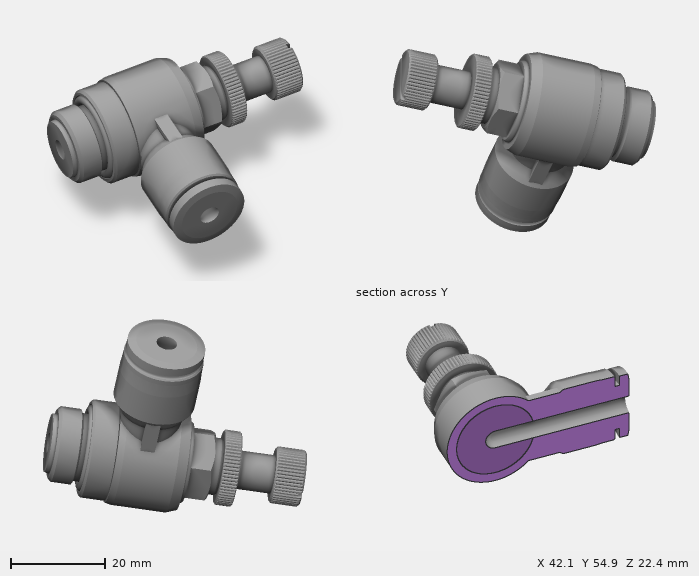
import cadquery as cq
import math


total_length = 54.9
branch_y = 20.1

sleeve_bottom = 13.7
sleeve_top = 29.1
sleeve_radius = 11.2
sleeve_bottom_radius = 10.9
sleeve_bottom_taper = 1.5
sleeve_top_radius = 10.4
sleeve_top_taper = 2.25

branch_neck_radius = 6.75
branch_cone_start = 12.6
branch_cone_end = 15.7
branch_radius = 8.8
branch_taper_start = 23.1
branch_taper_end = 26.2
branch_lip_radius = 8.6
branch_body_end = 27.65
branch_lip_chamfer = 0.35
release_neck_radius = 5.95
release_ring_start = 28.6
release_ring_radius = 8.4
release_ring_edge = 30.6
release_face_radius = 6.6
branch_end = 30.9

rib_half_thickness = 8.2
rib_width = 3.1
collar_clearance_radius = 11.65

shaft_radius = 8.9
passage_radius = 2.2

tip_face_radius = 6.25
tip_radius = 6.5
tip_length = 1.0
thread_radius = 8.1
thread_bottom_chamfer = 0.65
thread_top = 5.95
thread_top_chamfer = 0.45
neck_radius = 7.3
collar_bottom = 7.9
collar_top = 13.55
collar_radius = 10.55
collar_chamfer = 0.5
gland_radius = 9.45
gland_depth = 0.9
seal_ring_radius = 8.3
seal_section_radius = 1.0
seal_y = 8.3

shoulder_straight_top = 29.25
shoulder_top = 30.1
shoulder_face_radius = 8.5
hex_sides = 6
hex_corner_radius = 8.1
hex_top = 35.0
hex_chamfer_angle = 30.0
boss_radius = 6.1
boss_taper_start = 36.45
boss_top_radius = 5.8

nut_bottom = 36.95
nut_top = 40.55
nut_radius = 8.05
nut_chamfer = 0.3
nut_teeth = 64
knob_bottom = 48.4
knob_radius = 6.1
knob_chamfer = 0.45
knob_teeth = 50
tooth_depth = 0.3
tooth_crest_share = 0.4
stem_radius = 4.1
slot_width = 1.25
slot_depth = 0.95


def turned_about_y(points):
    """Solid of revolution about the valve axis from (radius, y) points."""
    return cq.Workplane("XY").polyline(points).close().revolve(360, (0, 0, 0), (0, 1, 0))


def cylinder_y(radius, y_start, y_end):
    """Cylinder on the valve axis."""
    return cq.Workplane("XZ", origin=(0, y_start, 0)).circle(radius).extrude(y_start - y_end)


def turned_about_branch(points):
    """Solid of revolution about the branch axis from (x, radius) points."""
    profile = cq.Workplane("XY", origin=(0, branch_y, 0)).polyline(points).close()
    return profile.revolve(360, (0, 0, 0), (1, 0, 0))


def flow_passage():
    """Round passage from the threaded end, turning in a spherical elbow out through the branch."""
    inlet = cylinder_y(passage_radius, 0, branch_y)
    elbow = cq.Workplane("XY", origin=(0, branch_y, 0)).sphere(passage_radius)
    outlet = cq.Workplane("YZ", origin=(0, branch_y, 0)).circle(passage_radius).extrude(branch_end)
    return inlet.union(elbow).union(outlet)


def sleeve():
    return turned_about_y([
        (0, sleeve_bottom),
        (sleeve_bottom_radius, sleeve_bottom),
        (sleeve_radius, sleeve_bottom + sleeve_bottom_taper),
        (sleeve_radius, sleeve_top - sleeve_top_taper),
        (sleeve_top_radius, sleeve_top),
        (0, sleeve_top),
    ])


def branch():
    outline = turned_about_branch([
        (0, 0),
        (0, branch_neck_radius),
        (branch_cone_start, branch_neck_radius),
        (branch_cone_end, branch_radius),
        (branch_taper_start, branch_radius),
        (branch_taper_end, branch_lip_radius),
        (branch_body_end - branch_lip_chamfer, branch_lip_radius),
        (branch_body_end, branch_lip_radius - branch_lip_chamfer),
        (branch_body_end, release_neck_radius),
        (release_ring_start, release_neck_radius),
        (release_ring_start, release_ring_radius),
        (release_ring_edge, release_ring_radius),
        (branch_end, release_face_radius),
        (branch_end, 0),
    ])
    return outline.cut(cylinder_y(collar_clearance_radius, 0, sleeve_bottom))


def rib():
    """Web from the sleeve to the branch cone, standing out above and below the neck."""
    return (
        cq.Workplane("XY", origin=(0, branch_y, 0))
        .box(branch_cone_end, rib_width, 2 * rib_half_thickness, centered=(False, True, True))
    )


def make_elbow():
    solid = sleeve().union(branch()).union(rib())
    return solid.cut(cylinder_y(shaft_radius, 0, sleeve_top)).cut(flow_passage())


def threaded_end():
    """Connection end with its collar, and the seal ring in a gland under the collar."""
    body = turned_about_y([
        (0, 0),
        (tip_face_radius, 0),
        (tip_radius, tip_length),
        (thread_radius - thread_bottom_chamfer, tip_length),
        (thread_radius, tip_length + thread_bottom_chamfer),
        (thread_radius, thread_top),
        (neck_radius, thread_top + thread_top_chamfer),
        (neck_radius, collar_bottom + gland_depth),
        (gland_radius, collar_bottom + gland_depth),
        (gland_radius, collar_bottom),
        (collar_radius - collar_chamfer, collar_bottom),
        (collar_radius, collar_bottom + collar_chamfer),
        (collar_radius, collar_top),
        (0, collar_top),
    ])
    seal = cq.Solid.makeTorus(
        seal_ring_radius, seal_section_radius, cq.Vector(0, seal_y, 0), cq.Vector(0, 1, 0)
    )
    return body.union(cq.Workplane(seal))


def shaft():
    """Plain shaft filling the sleeve, ending in a rounded shoulder."""
    bulge_y = (shoulder_straight_top + shoulder_top) / 2
    bulge_radius = shaft_radius - (shaft_radius - shoulder_face_radius) / 4
    return (
        cq.Workplane("XY")
        .moveTo(0, collar_top)
        .lineTo(shaft_radius, collar_top)
        .lineTo(shaft_radius, shoulder_straight_top)
        .threePointArc((bulge_radius, bulge_y), (shoulder_face_radius, shoulder_top))
        .lineTo(0, shoulder_top)
        .close()
        .revolve(360, (0, 0, 0), (0, 1, 0))
    )


def hexagon():
    """Hexagon with corners on X, its upper corners chamfered by a cone."""
    flat_radius = hex_corner_radius * math.cos(math.pi / hex_sides)
    corner_drop = (hex_corner_radius - flat_radius) * math.tan(math.radians(hex_chamfer_angle))
    prism = (
        cq.Workplane("XZ", origin=(0, shoulder_top, 0))
        .polygon(hex_sides, 2 * hex_corner_radius)
        .extrude(shoulder_top - hex_top)
    )
    cone = turned_about_y([
        (0, shoulder_top),
        (hex_corner_radius, shoulder_top),
        (hex_corner_radius, hex_top - corner_drop),
        (flat_radius, hex_top),
        (0, hex_top),
    ])
    return prism.intersect(cone)


def boss():
    return turned_about_y([
        (0, hex_top),
        (boss_radius, hex_top),
        (boss_radius, boss_taper_start),
        (boss_top_radius, nut_bottom),
        (0, nut_bottom),
    ])


def knurled_disc(radius, y_start, y_end, teeth, chamfer):
    """Disc with V-shaped grooves between flat-topped teeth, and chamfered rims."""
    pitch = 2 * math.pi / teeth
    half_crest = tooth_crest_share * pitch / 2
    points = []
    for index in range(teeth):
        groove = index * pitch
        crest = groove + pitch / 2
        for angle, point_radius in (
            (groove, radius - tooth_depth),
            (crest - half_crest, radius),
            (crest + half_crest, radius),
        ):
            points.append((point_radius * math.cos(angle), point_radius * math.sin(angle)))
    outline = cq.Workplane("XZ", origin=(0, y_start, 0)).polyline(points).close()
    toothed = outline.extrude(y_start - y_end)
    blank = turned_about_y([
        (0, y_start),
        (radius - chamfer, y_start),
        (radius, y_start + chamfer),
        (radius, y_end - chamfer),
        (radius - chamfer, y_end),
        (0, y_end),
    ])
    return toothed.intersect(blank)


def slotted_knob():
    knob = knurled_disc(knob_radius, knob_bottom, total_length, knob_teeth, knob_chamfer)
    slot = cq.Workplane("XY", origin=(0, total_length, 0)).box(
        slot_width, 2 * slot_depth, 2 * knob_radius
    )
    return knob.cut(slot)


def make_core():
    return (
        threaded_end()
        .union(shaft())
        .union(hexagon())
        .union(boss())
        .union(knurled_disc(nut_radius, nut_bottom, nut_top, nut_teeth, nut_chamfer))
        .union(cylinder_y(stem_radius, nut_top, knob_bottom))
        .union(slotted_knob())
        .cut(flow_passage())
    )


elbow = make_elbow()
core = make_core()
result = cq.Compound.makeCompound([elbow.solids().val(), core.solids().val()])